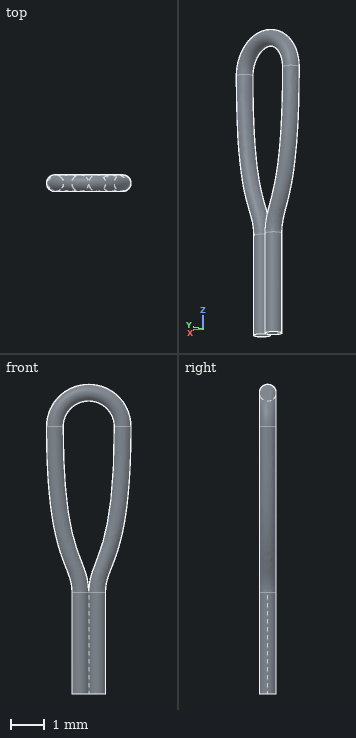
import cadquery as cq

wire_diameter = 0.5
overall_width = 2.5
overall_height = 9.15
leg_length = 3.0

bow_handle = 4.0
leg_handle = 1.0

wire_radius = wire_diameter / 2
leg_x = wire_radius
bow_radius = overall_width / 2 - wire_radius
bow_base_z = overall_height - overall_width / 2


def flare_points(side):
    """Bezier points of one flare, from the leg up to the bow; side is -1 or +1."""
    return [
        (side * leg_x, leg_length),
        (side * leg_x, leg_length + leg_handle),
        (side * bow_radius, bow_base_z - bow_handle),
        (side * bow_radius, bow_base_z),
    ]


def loop_centreline():
    """Centreline in the XZ plane: leg, flare, half-circle bow, flare, leg."""
    return (
        cq.Workplane("XZ")
        .moveTo(-leg_x, 0)
        .lineTo(-leg_x, leg_length)
        .bezier(flare_points(-1))
        .threePointArc((0, bow_base_z + bow_radius), (bow_radius, bow_base_z))
        .bezier(flare_points(1)[::-1])
        .lineTo(leg_x, 0)
    )


def wire_loop():
    """Round wire swept along the whole centreline as one solid."""
    return (
        cq.Workplane("XY")
        .center(-leg_x, 0)
        .circle(wire_radius)
        .sweep(loop_centreline())
    )


result = wire_loop()